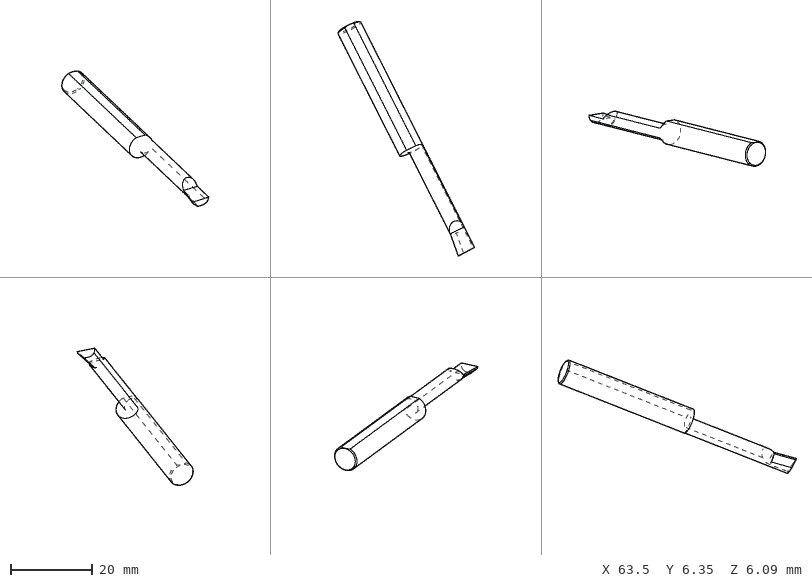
import cadquery as cq
import math

overall_length = 63.5

shank_diameter = 6.35
shank_radius = shank_diameter / 2
shank_length = 34.55
shank_chamfer = 0.3
height_at_flat = 6.09
flat_z = height_at_flat - shank_radius

neck_radius = 2.03
neck_offset_y = 1.31
neck_fillet = 0.5

ramp_end_x = 57.6
ramp_angle = 45
nose_start_x = 57.75
tip_y = -1.42
side_rake_angle = 7
end_edge_angle = 2
end_relief_angle = 10
land_height = 0.5
land_relief_angle = 10
lower_relief_angle = 45


def tangent(degrees):
    return math.tan(math.radians(degrees))


def rod(radius, start_x, end_x, center_y=0):
    """Cylinder along X."""
    return cq.Workplane("YZ", origin=(start_x, center_y, 0)).circle(radius).extrude(end_x - start_x)


def make_shank():
    shank = rod(shank_radius, 0, shank_length).faces("<X").chamfer(shank_chamfer)
    above_flat = (
        cq.Workplane("XY", origin=(0, 0, flat_z))
        .rect(2 * shank_length, shank_diameter)
        .extrude(shank_radius)
    )
    return shank.cut(above_flat)


def make_neck():
    """Neck with a concave fillet at the shank and a ramp down to the cutting face."""
    arc_shift = neck_fillet * (1 - math.sqrt(0.5))
    neck = (
        cq.Workplane("XY", origin=(shank_length, neck_offset_y, 0))
        .lineTo(0, -neck_radius - neck_fillet)
        .threePointArc((arc_shift, -neck_radius - arc_shift), (neck_fillet, -neck_radius))
        .lineTo(nose_start_x - shank_length, -neck_radius)
        .lineTo(nose_start_x - shank_length, 0)
        .close()
        .revolve(360, (0, 0, 0), (1, 0, 0))
    )
    ramp_top_x = ramp_end_x - shank_radius / tangent(ramp_angle)
    above_ramp = (
        cq.Workplane("XZ", origin=(0, shank_diameter, 0))
        .moveTo(ramp_end_x, 0)
        .lineTo(ramp_top_x, shank_radius)
        .lineTo(overall_length, shank_radius)
        .lineTo(overall_length, 0)
        .close()
        .extrude(2 * shank_diameter)
    )
    return neck.cut(above_ramp)


def nose_section(x):
    """Closed wire of the nose at a given X: cutting face, land, lower relief and a square back."""
    edge_y = tip_y + (overall_length - x) * tangent(side_rake_angle)
    land_y = edge_y + land_height * tangent(land_relief_angle)
    bottom_y = land_y + (neck_radius - land_height) * tangent(lower_relief_angle)
    outline = [
        (shank_radius, 0),
        (edge_y, 0),
        (land_y, -land_height),
        (bottom_y, -neck_radius),
        (shank_radius, -neck_radius),
    ]
    return cq.Wire.makePolygon([cq.Vector(x, y, z) for y, z in outline], close=True)


def make_nose():
    sections = [nose_section(nose_start_x), nose_section(overall_length)]
    nose = cq.Workplane(obj=cq.Solid.makeLoft(sections, True))

    rounded_back = rod(neck_radius, nose_start_x, overall_length, neck_offset_y)
    front_block = (
        cq.Workplane("XY")
        .box(overall_length, shank_diameter, shank_diameter, centered=(False, False, True))
        .translate((0, neck_offset_y - shank_diameter, 0))
    )
    nose = nose.intersect(rounded_back.union(front_block))

    end_waste = (
        cq.Workplane("XY")
        .box(shank_diameter, 4 * shank_diameter, 4 * shank_diameter, centered=(False, True, True))
        .rotate((0, 0, 0), (0, 1, 0), end_relief_angle)
        .rotate((0, 0, 0), (0, 0, 1), end_edge_angle)
        .translate((overall_length, tip_y, 0))
    )
    return nose.cut(end_waste)


shank_envelope = rod(shank_radius, 0, overall_length)
neck_and_nose = make_neck().union(make_nose())
result = make_shank().union(neck_and_nose.intersect(shank_envelope))